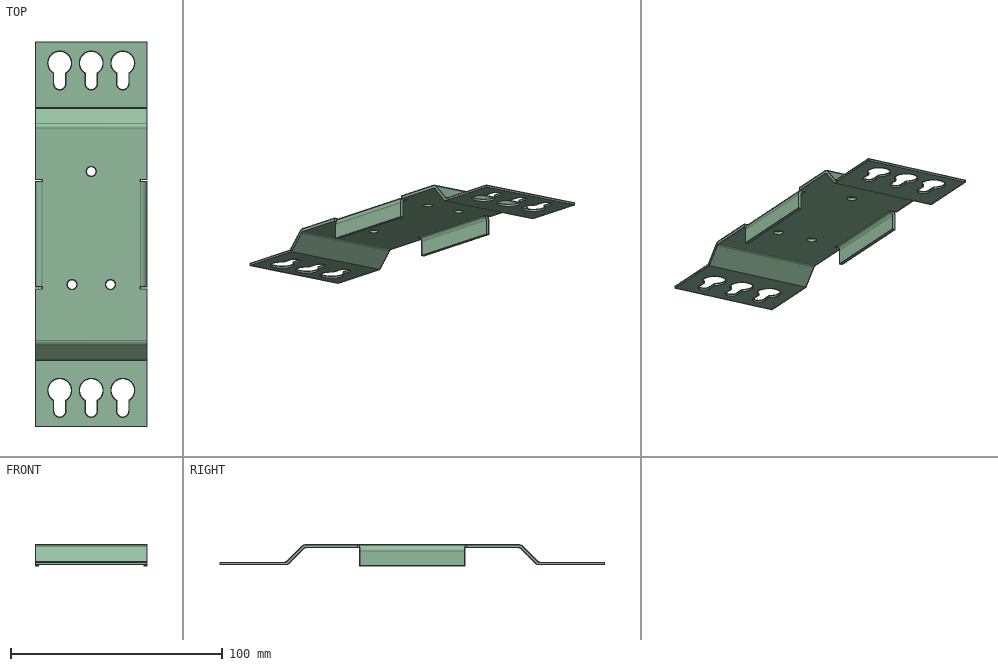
import cadquery as cq
import math

length = 182.0
width = 53.0
height = 10.0
thickness = 1.5
foot_clearance = 0.5

foot_length = 31.1
foot_thickness = 1.0
plate_half_length = 51.5
bend_outer_radius = 3.1
bend_flat = 0.4

flange_length = 49.9
flange_radius = 3.1
relief_depth = 3.3
relief_gap = 1.0

keyhole_pitch = 15.0
keyhole_diameter = 11.1
keyhole_slot_width = 5.6
keyhole_slot_travel = 9.8
keyhole_rows = (81.0, -73.9)
hole_diameter = 4.5
hole_positions = [(0, 29.7), (-9.1, -23.8), (9.1, -23.8)]

foot_start = length / 2 - foot_length
bend_foot = foot_start - bend_flat
foot_top = foot_clearance + foot_thickness
bend_flat_top = foot_clearance + thickness
slope_angle = math.atan2(height - bend_flat_top, bend_foot - plate_half_length)
miter_shift = thickness * math.tan(slope_angle / 2)
plate_bend_top = (plate_half_length, height)
plate_bend_bottom = (plate_half_length - miter_shift, height - thickness)


def half_profile_points():
    """Upper outline from the centre to the +Y end, then back along the underside."""
    return [
        (0, height),
        plate_bend_top,
        (bend_foot, bend_flat_top),
        (foot_start, bend_flat_top),
        (foot_start, foot_top),
        (length / 2, foot_top),
        (length / 2, foot_clearance),
        (bend_foot - miter_shift, foot_clearance),
        plate_bend_bottom,
        (0, height - thickness),
    ]


def bend_edge(body, y, z):
    """Select the edge along X that passes through the given profile corner."""
    reach = 0.02
    corner = cq.selectors.BoxSelector(
        (-reach, y - reach, z - reach), (reach, y + reach, z + reach)
    )
    return body.edges("|X").edges(corner)


def bent_strip():
    """Raised plate with a sloped web and a foot at each end."""
    half = cq.Workplane("YZ").polyline(half_profile_points()).close().extrude(width / 2, both=True)
    plate_inner_radius = bend_outer_radius - thickness
    bends = [
        (plate_bend_top, bend_outer_radius),
        (plate_bend_bottom, plate_inner_radius),
    ]
    for (y, z), radius in bends:
        half = bend_edge(half, y, z).fillet(radius)
    return half.union(half.mirror("XZ"))


def side_reliefs():
    """Edge cutouts that make room for the flanges and their end gaps."""
    return (
        cq.Workplane("XY")
        .pushPoints([(-width / 2, 0), (width / 2, 0)])
        .rect(2 * relief_depth, flange_length + 2 * relief_gap)
        .extrude(height)
    )


def side_flange():
    """Flange on the +X side, joined to the plate by a rounded bend."""
    outer_x = width / 2
    inner_x = outer_x - thickness
    bend_x = outer_x - flange_radius
    bend_z = height - flange_radius
    inner_radius = flange_radius - thickness
    diagonal = math.sqrt(0.5)
    return (
        cq.Workplane("XZ")
        .moveTo(outer_x - relief_depth, height)
        .lineTo(bend_x, height)
        .threePointArc(
            (bend_x + flange_radius * diagonal, bend_z + flange_radius * diagonal),
            (outer_x, bend_z),
        )
        .lineTo(outer_x, 0)
        .lineTo(inner_x, 0)
        .lineTo(inner_x, bend_z)
        .threePointArc(
            (bend_x + inner_radius * diagonal, bend_z + inner_radius * diagonal),
            (bend_x, height - thickness),
        )
        .lineTo(outer_x - relief_depth, height - thickness)
        .close()
        .extrude(flange_length / 2, both=True)
    )


def keyholes():
    """Three keyholes in each foot, all with their slots toward -Y."""
    centers = [(column * keyhole_pitch, y) for y in keyhole_rows for column in (-1, 0, 1)]
    slot_centers = [(x, y - keyhole_slot_travel / 2) for x, y in centers]
    heads = cq.Workplane("XY").pushPoints(centers).circle(keyhole_diameter / 2).extrude(height)
    slots = (
        cq.Workplane("XY")
        .pushPoints(slot_centers)
        .slot2D(keyhole_slot_travel + keyhole_slot_width, keyhole_slot_width, 90)
        .extrude(height)
    )
    return heads.union(slots)


def plate_holes():
    """Three round holes through the raised plate."""
    return cq.Workplane("XY").pushPoints(hole_positions).circle(hole_diameter / 2).extrude(height)


flange = side_flange()
result = (
    bent_strip()
    .cut(side_reliefs())
    .union(flange)
    .union(flange.mirror("YZ"))
    .cut(keyholes())
    .cut(plate_holes())
)